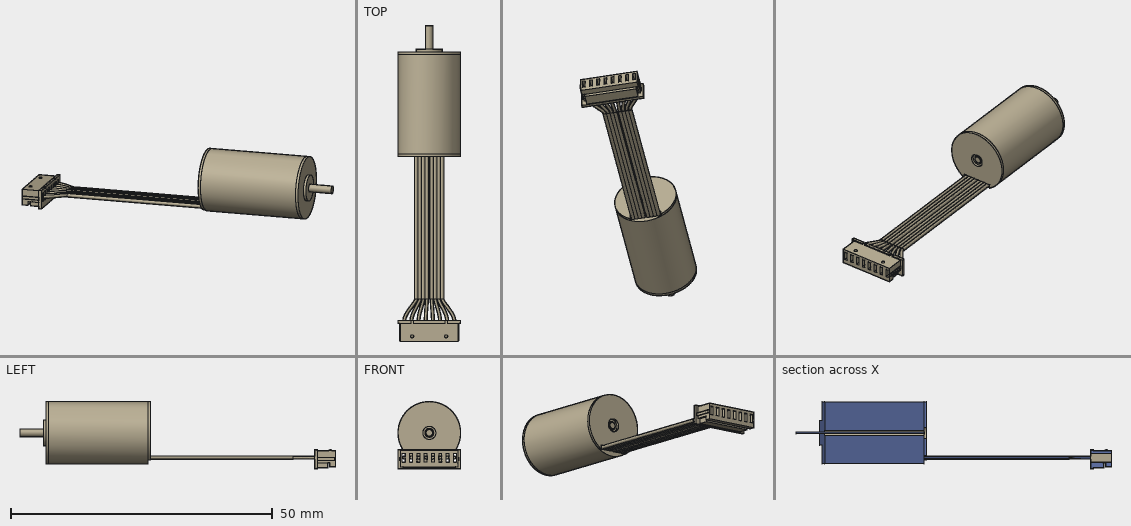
import cadquery as cq


overall_length = 60.34

motor_diameter = 12.0
motor_length = 20.0
cap_thickness = 0.5
boss_diameter = 5.0
boss_height = 0.5
shaft_diameter = 1.5
shaft_tip_diameter = 1.25
shaft_projection = 5.0
shaft_chamfer = (shaft_diameter - shaft_tip_diameter) / 2
rear_hole_diameter = 2.5
shaft_rear_y = 0.3
housing_bore_diameter = 1.7

wires_per_ribbon = 4
ribbon_count = 2
ribbon_pitch = 0.68
ribbon_gap = 0.2
ribbon_wire_diameter = 0.7
fan_wire_diameter = 0.6
fan_end_pitch = 1.36
fan_start_length = 0.7
fan_end_length = 1.4
cable_z = -4.72
ribbon_end_y = -27.2
cable_notch_width = 6.0
cable_notch_top_z = cable_z + ribbon_wire_diameter / 2

connector_front_y = motor_length + shaft_projection - overall_length
connector_rear_y = -31.3
connector_x = -0.02
flange_width = 12.0
flange_thickness = 0.55
flange_top_z = -3.2
flange_bottom_z = -6.86
shell_width = 11.0
shell_top_z = -3.4
shell_bottom_z = -6.5
shelf_z = -5.75
foot_length = 1.15
latch_width = 10.0
latch_length = 2.0
latch_bottom_z = -6.7
rib_projection = 0.2
rib_bevel_length = 0.2
rib_top_z = -4.7
rib_bottom_z = -5.26
slot_count = 8
slot_pitch = 1.4
slot_width = 0.55
slot_top_z = -3.95
slot_bottom_z = -5.6
key_offset = 3.25
key_width = 0.55
bump_diameter = 0.6
bump_height = 0.2
bump_front_gap = 1.0


def cylinder(diameter, y_start, y_end, x=0.0, z=0.0):
    """Cylinder along Y from y_start to y_end."""
    axis = cq.Vector(0, 1, 0)
    solid = cq.Solid.makeCylinder(diameter / 2, y_end - y_start, cq.Vector(x, y_start, z), axis)
    return cq.Workplane(obj=solid)


def block(width, x_center, y_start, y_end, z_bottom, z_top):
    """Box centred at x_center in X and given by its end planes in Y and Z."""
    corner = cq.Vector(x_center - width / 2, y_start, z_bottom)
    solid = cq.Solid.makeBox(width, y_end - y_start, z_top - z_bottom, corner)
    return cq.Workplane(obj=solid)


def row_positions(count, pitch, center=0.0):
    """X places of count equally spaced features, centred at center."""
    return [center + (index - (count - 1) / 2) * pitch for index in range(count)]


def make_shaft():
    tip_y = motor_length + shaft_projection
    return cylinder(shaft_diameter, shaft_rear_y, tip_y).faces("<Y").chamfer(shaft_chamfer)


def make_housing():
    front_y = motor_length - cap_thickness
    housing = cylinder(motor_diameter, cap_thickness, front_y)
    return housing.cut(cylinder(housing_bore_diameter, cap_thickness, front_y))


def make_front_cap():
    boss_y = motor_length + boss_height
    cap = cylinder(motor_diameter, motor_length - cap_thickness, motor_length)
    cap = cap.union(cylinder(boss_diameter, motor_length, boss_y))
    return cap.cut(cylinder(shaft_diameter, motor_length - cap_thickness, boss_y))


def make_rear_cap():
    cap = cylinder(motor_diameter, 0, cap_thickness)
    cap = cap.cut(cylinder(rear_hole_diameter, 0, cap_thickness))
    notch = block(cable_notch_width, 0, 0, cap_thickness, -motor_diameter, cable_notch_top_z)
    return cap.cut(notch)


def make_fan_wire(start_x, end_x):
    """Curved wire that leaves the ribbon and reaches the connector parallel to Y."""
    path_points = [
        cq.Vector(start_x, ribbon_end_y, cable_z),
        cq.Vector(start_x, ribbon_end_y - fan_start_length, cable_z),
        cq.Vector(end_x, connector_rear_y + fan_end_length, cable_z),
        cq.Vector(end_x, connector_rear_y, cable_z),
    ]
    path = cq.Workplane(obj=cq.Edge.makeBezier(path_points))
    section_plane = cq.Plane(path_points[0], (0, 0, 1), (0, -1, 0))
    section = cq.Workplane(section_plane).circle(fan_wire_diameter / 2)
    return section.sweep(path)


def make_ribbon(ribbon_x, fan_x):
    """One flat ribbon centred at ribbon_x, with its wires fanned out about fan_x."""
    starts = row_positions(wires_per_ribbon, ribbon_pitch, ribbon_x)
    ends = row_positions(wires_per_ribbon, fan_end_pitch, fan_x)
    ribbon = cq.Workplane()
    for start_x, end_x in zip(starts, ends):
        straight_wire = cylinder(ribbon_wire_diameter, ribbon_end_y, cap_thickness, start_x, cable_z)
        ribbon = ribbon.union(straight_wire)
        ribbon = ribbon.union(make_fan_wire(start_x, end_x))
    return ribbon


def make_cables():
    ribbon_width = (wires_per_ribbon - 1) * ribbon_pitch + ribbon_wire_diameter
    ribbon_places = row_positions(ribbon_count, ribbon_width + ribbon_gap)
    fan_places = row_positions(ribbon_count, wires_per_ribbon * fan_end_pitch)
    return [make_ribbon(ribbon_x, fan_x) for ribbon_x, fan_x in zip(ribbon_places, fan_places)]


def make_side_rib(side):
    """Rib along one end wall of the shell, bevelled at its front end."""
    wall_x = connector_x + side * shell_width / 2
    outer_x = wall_x + side * rib_projection
    outline = [
        (wall_x, connector_rear_y - flange_thickness),
        (outer_x, connector_rear_y - flange_thickness),
        (outer_x, connector_front_y + rib_bevel_length),
        (wall_x, connector_front_y),
    ]
    rib = cq.Workplane("XY").workplane(offset=rib_bottom_z).polyline(outline).close()
    return rib.extrude(rib_top_z - rib_bottom_z)


def make_bump(x):
    """Low domed bump on the top face of the shell, part of a sphere sunk into it."""
    radius = ((bump_diameter / 2) ** 2 + bump_height**2) / (2 * bump_height)
    center_y = connector_front_y + bump_front_gap
    center_z = shell_top_z + bump_height - radius
    return cq.Workplane("XY").sphere(radius).translate((x, center_y, center_z))


def make_connector():
    flange_front_y = connector_rear_y - flange_thickness
    foot_rear_y = connector_front_y + foot_length
    latch_front_y = flange_front_y - latch_length

    connector = block(
        flange_width, connector_x, flange_front_y, connector_rear_y, flange_bottom_z, flange_top_z
    )
    shell = block(shell_width, connector_x, connector_front_y, flange_front_y, shelf_z, shell_top_z)
    foot = block(shell_width, connector_x, connector_front_y, foot_rear_y, shell_bottom_z, shelf_z)
    latch = block(latch_width, connector_x, latch_front_y, flange_front_y, latch_bottom_z, shelf_z)
    connector = connector.union(shell).union(foot).union(latch)

    for side in (-1, 1):
        connector = connector.union(make_side_rib(side))
        key_x = connector_x + side * key_offset
        connector = connector.cut(
            block(key_width, key_x, flange_front_y, connector_rear_y, shell_top_z, flange_top_z)
        )
        connector = connector.union(make_bump(key_x))

    for slot_x in row_positions(slot_count, slot_pitch):
        connector = connector.cut(
            block(slot_width, slot_x, connector_front_y, connector_rear_y, slot_bottom_z, slot_top_z)
        )
    return connector


shaft = make_shaft()
housing = make_housing()
front_cap = make_front_cap()
rear_cap = make_rear_cap()
cables = make_cables()
connector = make_connector()

result = cq.Compound.makeCompound(
    [
        shaft.val(),
        housing.val(),
        front_cap.val(),
        rear_cap.val(),
        *[cable.val() for cable in cables],
        connector.val(),
    ]
)